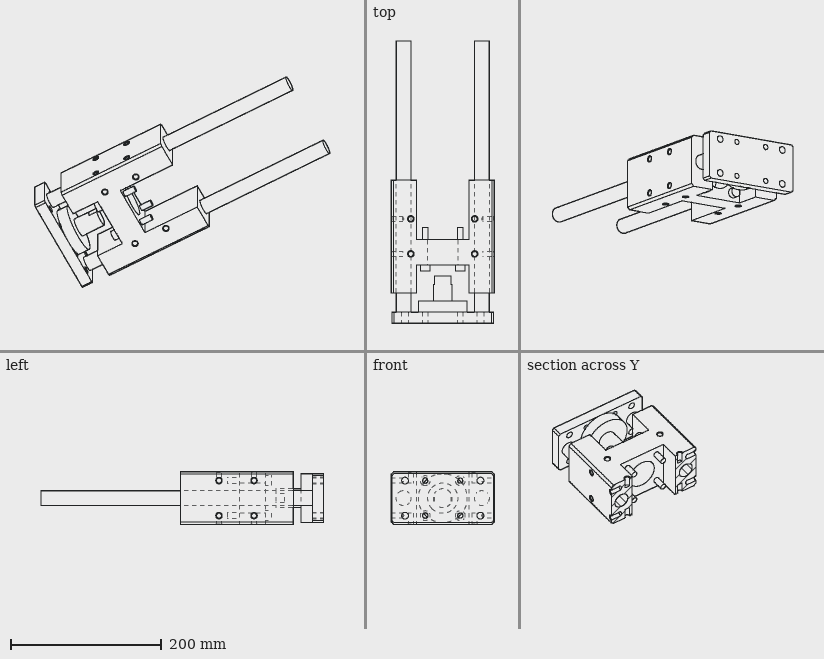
import cadquery as cq


square_pitch = 46.5

housing_width = 137.0
housing_height = 70.0
housing_length = 150.0
housing_front = 40.0
housing_chamfer = 3.5
slot_width = 69.0
web_front = 77.2
web_thickness = 34.0
web_back = web_front + web_thickness
housing_back = housing_front + housing_length
clevis_bore_diameter = 40.0

tap_diameter = 6.8
mouth_diameter = 8.5
hole_depth = 15.0
side_hole_tip = 2.0
mount_pitch = square_pitch
mount_first_y = 92.2
mount_top_pitch = 84.8

screw_pitch = square_pitch
screw_head_diameter = 13.0
screw_head_height = 8.0
screw_shank_diameter = 8.0
screw_tail_length = 16.0

plate_width = 135.0
plate_height = 65.0
plate_thickness = 15.0
plate_chamfer = 2.5
plate_large_hole = 9.0
plate_large_pitch = 100.0
plate_small_hole = 6.8
plate_small_pitch = square_pitch
plate_hole_rows = square_pitch
rod_diameter = 20.0
rod_pitch = 104.0
rod_end = 375.0
flange_diameter = 65.0
flange_thickness = 15.0
stud_diameter = 25.0
stud_length = 33.0
flat_spacing = 22.0
flat_length = 11.2


def cylinder(diameter, x, z, y_start, y_end):
    """Cylinder along Y between two Y positions."""
    plane = cq.Plane(origin=(x, y_start, z), xDir=(1, 0, 0), normal=(0, 1, 0))
    return cq.Workplane(plane).circle(diameter / 2).extrude(y_end - y_start)


def box(width, height, y_start, y_end):
    """Box centred on the Y axis between two Y positions."""
    length = y_end - y_start
    return cq.Workplane("XY").box(width, length, height).translate((0, y_start + length / 2, 0))


def pair(pitch):
    """Two positions spaced symmetrically about zero."""
    return (-pitch / 2, pitch / 2)


def blind_hole(point, direction, tip_height):
    """Cutter for a tapped hole with a 45-degree countersink; a tip height above zero gives a conical bottom."""
    entry = cq.Vector(*point)
    inward = cq.Vector(*direction)
    sink_depth = (mouth_diameter - tap_diameter) / 2
    sink = cq.Solid.makeCone(mouth_diameter / 2, tap_diameter / 2, sink_depth, entry, inward)
    bore = cq.Solid.makeCylinder(tap_diameter / 2, hole_depth, entry, inward)
    cutter = cq.Workplane(obj=sink).union(cq.Workplane(obj=bore))
    if tip_height > 0:
        bottom = entry + inward * hole_depth
        tip = cq.Workplane(obj=cq.Solid.makeCone(tap_diameter / 2, 0, tip_height, bottom, inward))
        cutter = cutter.union(tip)
    return cutter


def cut_mounting_holes(body):
    for y in (mount_first_y, mount_first_y + mount_pitch):
        for side in (-1, 1):
            for x in pair(mount_top_pitch):
                body = body.cut(blind_hole((x, y, side * housing_height / 2), (0, 0, -side), 0))
            for z in pair(mount_pitch):
                body = body.cut(blind_hole((side * housing_width / 2, y, z), (-side, 0, 0), side_hole_tip))
    return body


def add_screws(body):
    head_front = web_front - screw_head_height
    tail_end = web_back + screw_tail_length
    for x in pair(screw_pitch):
        for z in pair(screw_pitch):
            body = body.union(cylinder(screw_head_diameter, x, z, head_front, web_front))
            body = body.union(cylinder(screw_shank_diameter, x, z, web_back, tail_end))
    return body


def make_housing():
    body = box(housing_width, housing_height, housing_front, housing_back)
    body = body.edges("|Y").chamfer(housing_chamfer)
    body = body.cut(box(slot_width, housing_height, housing_front, web_front))
    body = body.cut(box(slot_width, housing_height, web_back, housing_back))
    body = body.cut(cylinder(clevis_bore_diameter, 0, 0, web_front, web_back))
    for x in pair(rod_pitch):
        body = body.cut(cylinder(rod_diameter, x, 0, housing_front, housing_back))
    body = cut_mounting_holes(body)
    return add_screws(body)


def add_coupling(body):
    """Add the round flange and the stud with two wrench flats at its end."""
    flange_back = plate_thickness + flange_thickness
    stud_end = flange_back + stud_length
    flat_start = stud_end - flat_length
    flange = cylinder(flange_diameter, 0, 0, plate_thickness, flange_back)
    stud = cylinder(stud_diameter, 0, 0, flange_back, stud_end)
    outside_flats = box(stud_diameter, stud_diameter, flat_start, stud_end)
    outside_flats = outside_flats.cut(box(flat_spacing, stud_diameter, flat_start, stud_end))
    return body.union(flange).union(stud.cut(outside_flats))


def make_slide():
    body = box(plate_width, plate_height, 0, plate_thickness).edges("|Y").chamfer(plate_chamfer)
    for z in pair(plate_hole_rows):
        for x in pair(plate_large_pitch):
            body = body.cut(cylinder(plate_large_hole, x, z, 0, plate_thickness))
        for x in pair(plate_small_pitch):
            body = body.cut(cylinder(plate_small_hole, x, z, 0, plate_thickness))
    for x in pair(rod_pitch):
        body = body.union(cylinder(rod_diameter, x, 0, plate_thickness, rod_end))
    return add_coupling(body)


housing = make_housing()
slide = make_slide()
result = cq.Compound.makeCompound([housing.val(), slide.val()])